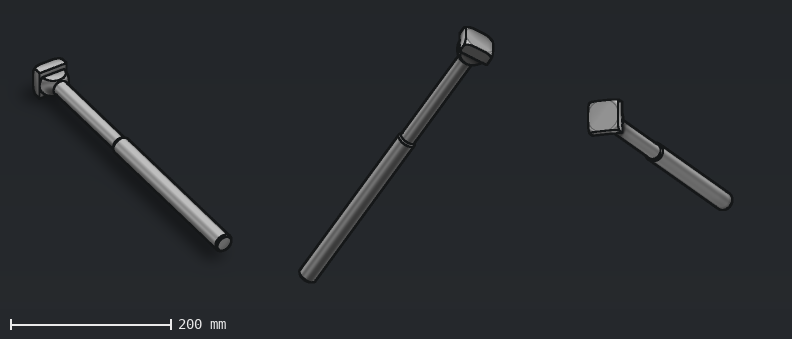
import cadquery as cq

total_length = 416.0
head_width = 40.0
head_thickness = 16.0
head_face_diameter = 41.5
head_round_radius = 8.0
neck_width = 24.0
shank_diameter = 20.5
shank_end = 172.2
thread_diameter = 24.0
thread_start = 175.5
end_chamfer_length = 2.0

shank_radius = shank_diameter / 2
thread_radius = thread_diameter / 2


def revolve_about_axis(points):
    """Solid of revolution about X from (x, radius) points."""
    return cq.Workplane("XY").polyline(points).close().revolve(360, (0, 0, 0), (1, 0, 0))


def make_head():
    """Square head whose front corners are rounded by a turned edge about X."""
    block = cq.Workplane("YZ").rect(head_width, head_width).extrude(head_thickness)
    turned_radius = head_face_diameter / 2 + head_round_radius
    turned = cq.Workplane("YZ").circle(turned_radius).extrude(head_thickness)
    turned = turned.faces("<X").edges().fillet(head_round_radius)
    return block.intersect(turned)


def make_neck():
    """Half ball behind the head, cut flat above and below."""
    ball_radius = head_width / 2
    ball = cq.Workplane("XY").sphere(ball_radius)
    slab = cq.Workplane("XY").box(ball_radius, head_width, neck_width, centered=(False, True, True))
    return ball.intersect(slab).translate((head_thickness, 0, 0))


def make_shaft():
    """Plain shank and larger threaded length, tapered at both ends."""
    return revolve_about_axis([
        (head_thickness, 0),
        (head_thickness, shank_radius),
        (shank_end, shank_radius),
        (thread_start, thread_radius),
        (total_length - end_chamfer_length, thread_radius),
        (total_length, shank_radius),
        (total_length, 0),
    ])


result = make_head().union(make_neck()).union(make_shaft())